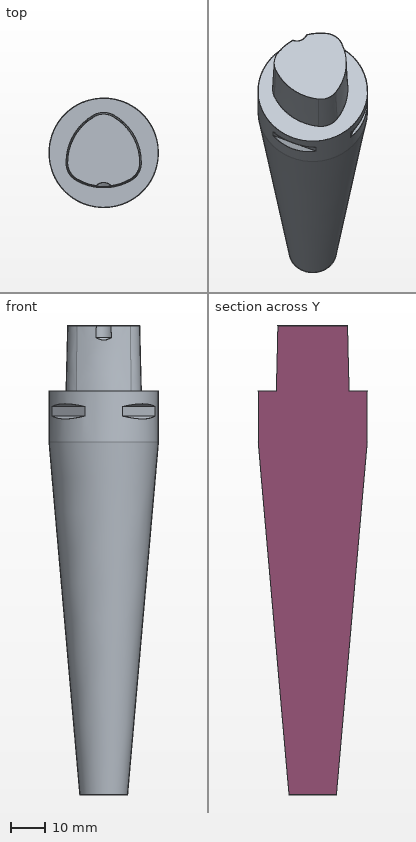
import cadquery as cq
import math


shank_length = 19.0
shank_width = 22.0
shank_taper = 1 / 20
shank_top_width = shank_width - shank_taper * shank_length
lobe_offset = 5.8
lobe_pitch = 120
lobe_angles = (90, 210, 330)
arc_half_span = lobe_pitch / 4

notch_wall_height = 3.5
notch_point_angle = 118.0
notch_diameter = 6.0
notch_width = 4.6

collar_diameter = 32.0
collar_height = 15.0
collar_radius = collar_diameter / 2

groove_angles = (45, 135, 225, 315)
groove_floor_height = 2.7
groove_depth = 1.5
groove_wall_angle = 30.0
groove_drop = 6.0

cone_length = 103.0
cone_half_angle = 5.0
cone_tip_radius = collar_radius - cone_length * math.tan(math.radians(cone_half_angle))


def polar(radius, angle, center=(0, 0)):
    """Point at a radius and an angle in degrees around a centre."""
    a = math.radians(angle)
    return (center[0] + radius * math.cos(a), center[1] + radius * math.sin(a))


def lobe_radius_for(width):
    """Radius of the three lobe arcs of a profile of the given width."""
    return (width - math.sqrt(3) * lobe_offset) / 2


def flank_radius_for(width):
    """Radius of the three flank arcs, each centred on the opposite lobe's centre."""
    return width - lobe_radius_for(width)


def add_shank_profile(plane, width):
    """Rounded triangle of constant width: lobe arcs joined by tangent flank arcs."""
    lobe_radius = lobe_radius_for(width)
    flank_radius = flank_radius_for(width)
    first_center = polar(lobe_offset, lobe_angles[0])
    profile = plane.moveTo(*polar(lobe_radius, lobe_angles[0] - arc_half_span, first_center))
    for angle in lobe_angles:
        lobe_center = polar(lobe_offset, angle)
        opposite_center = polar(lobe_offset, angle - lobe_pitch)
        next_center = polar(lobe_offset, angle + lobe_pitch)
        profile = profile.threePointArc(
            polar(lobe_radius, angle, lobe_center),
            polar(lobe_radius, angle + arc_half_span, lobe_center),
        )
        profile = profile.threePointArc(
            polar(flank_radius, angle + lobe_pitch / 2, opposite_center),
            polar(lobe_radius, angle + lobe_pitch - arc_half_span, next_center),
        )
    return profile.close()


def make_shank():
    base = add_shank_profile(cq.Workplane("XY"), shank_width)
    both_ends = add_shank_profile(base.workplane(offset=shank_length), shank_top_width)
    return both_ends.loft(ruled=True, combine=True)


def make_notch():
    """Upright drill-shaped cutter whose side reaches into the middle of the -Y flank."""
    flank_y = -(flank_radius_for(shank_top_width) - lobe_offset)
    axis_y = flank_y - math.sqrt(notch_diameter**2 - notch_width**2) / 2
    radius = notch_diameter / 2
    shoulder_z = shank_length - notch_wall_height
    point_z = shoulder_z - radius / math.tan(math.radians(notch_point_angle / 2))
    return (
        cq.Workplane("XZ", origin=(0, axis_y, 0))
        .polyline([(0, point_z), (radius, shoulder_z), (radius, shank_length), (0, shank_length)])
        .close()
        .revolve(360, (0, 0), (0, 1))
    )


def make_body():
    """Collar with the cone below it."""
    return (
        cq.Workplane("XZ")
        .polyline([
            (0, 0),
            (collar_radius, 0),
            (collar_radius, -collar_height),
            (cone_tip_radius, -collar_height - cone_length),
            (0, -collar_height - cone_length),
        ])
        .close()
        .revolve(360, (0, 0), (0, 1))
    )


def make_groove(angle):
    """Straight groove with flared walls, cut across the collar at one angle."""
    floor_x = collar_radius - groove_depth
    half_floor = groove_floor_height / 2
    half_mouth = half_floor + groove_depth * math.tan(math.radians(groove_wall_angle))
    return (
        cq.Workplane("XZ", origin=(0, 0, -groove_drop))
        .polyline([
            (floor_x, -half_floor),
            (collar_radius, -half_mouth),
            (collar_radius, half_mouth),
            (floor_x, half_floor),
        ])
        .close()
        .extrude(collar_radius, both=True)
        .rotate((0, 0, 0), (0, 0, 1), angle)
    )


result = make_body().union(make_shank()).cut(make_notch())
for groove_angle in groove_angles:
    result = result.cut(make_groove(groove_angle))